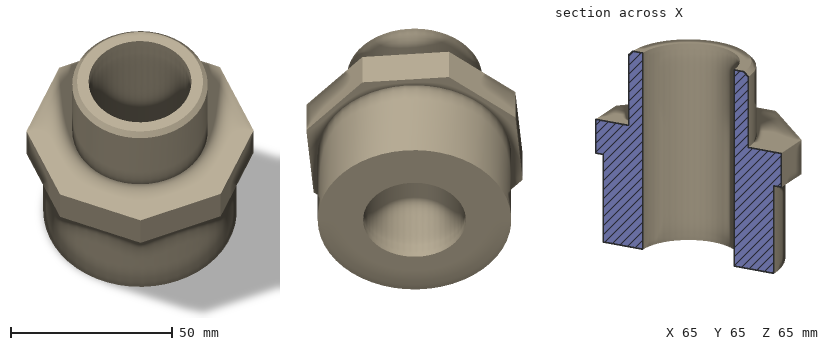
import cadquery as cq
import math

total_height = 65.0
across_flats = 65.0

body_diameter = 60.0
body_height = 28.9
collar_height = 11.3
spigot_diameter = 42.0
spigot_chamfer = 1.5
bore_diameter = 31.85

collar_sides = 8
collar_top = body_height + collar_height
spigot_height = total_height - collar_top


def cylinder(diameter, height, base_z):
    return cq.Workplane("XY").workplane(offset=base_z).circle(diameter / 2).extrude(height)


def octagonal_collar():
    """Regular octagon with flats facing X and Y."""
    half_side_angle = 180 / collar_sides
    across_corners = across_flats / math.cos(math.radians(half_side_angle))
    return (
        cq.Workplane("XY")
        .workplane(offset=body_height)
        .polygon(collar_sides, across_corners)
        .extrude(collar_height)
        .rotate((0, 0, 0), (0, 0, 1), half_side_angle)
    )


body = cylinder(body_diameter, body_height, 0)
spigot = cylinder(spigot_diameter, spigot_height, collar_top).faces(">Z").chamfer(spigot_chamfer)
through_bore = cylinder(bore_diameter, total_height, 0)

result = body.union(octagonal_collar()).union(spigot).cut(through_bore)